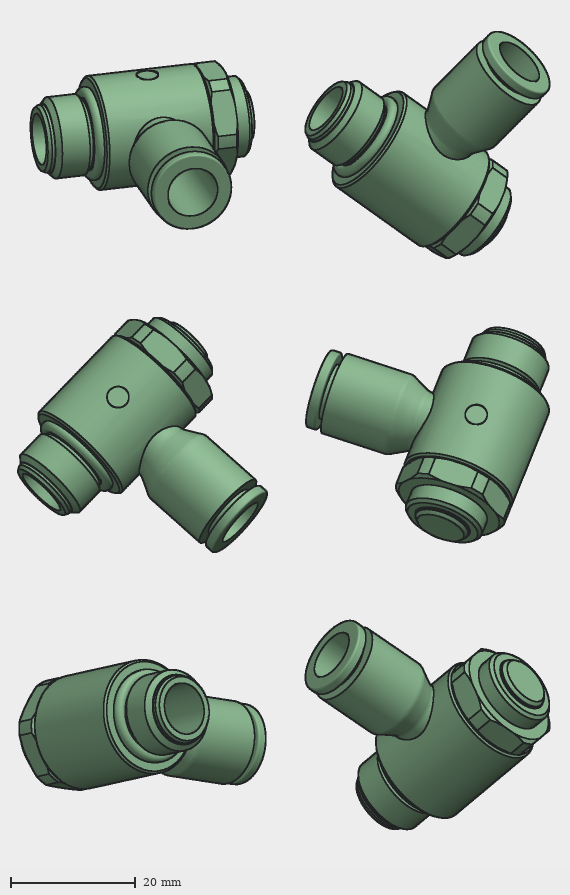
import cadquery as cq
import math

body_radius = 9.247
body_front = -9.23
body_back = 8.75
body_chamfer = 0.35

hex_back = 12.73
hex_across_flats = 17.0
hex_corner_radius = body_radius
hex_chamfer_length = 0.45
hex_end_radius = 8.58

collar_radius = 6.53
collar_back = 15.8
collar_chamfer = 0.55
cap_back = 16.75
cap_foot_radius = 4.7
cap_side_radius = 4.55
cap_foot_height = 0.15
cap_shoulder_height = 0.35
cap_tip_radius = 4.0
cap_tip_chamfer = 0.25

seal_cord_radius = 0.95
seal_outer_radius = 7.57
seal_front = -10.65
thread_radius = 6.6
thread_root_radius = 5.85
thread_front = -16.9
thread_chamfer = 0.9
nose_radius = 5.5
nose_front = -18.02
nose_tip_radius = 5.2
nose_chamfer_length = 0.6

branch_neck_radius = 4.97
branch_radius = 6.75
cone_start = 9.6
cone_end = 13.0
cone_blend_radius = 1.0
branch_end = 24.08
collet_neck_radius = 4.6
flange_start = 25.13
flange_radius = 6.53
flange_fillet = 0.32
overall_length = 36.05
flange_end = overall_length - body_radius

bore_radius = 4.15

recess_radius = 1.75
recess_depth = 0.2


def cylinder_y(radius, start, end):
    """Cylinder on the Y axis from start up to end."""
    return cq.Workplane("XZ", origin=(0, end, 0)).circle(radius).extrude(end - start)


def cylinder_x(radius, start, end):
    """Cylinder on the X axis from start up to end."""
    return cq.Workplane("YZ", origin=(start, 0, 0)).circle(radius).extrude(end - start)


def revolve_y(profile):
    """Turn a closed profile drawn in XY about the Y axis."""
    return profile.close().revolve(360, (0, 0, 0), (0, 1, 0))


def make_body():
    return cylinder_y(body_radius, body_front, body_back).edges().chamfer(body_chamfer)


def make_hex_head():
    across_corners = hex_across_flats / math.cos(math.pi / 6)
    prism = (
        cq.Workplane("XZ", origin=(0, hex_back, 0))
        .polygon(6, across_corners)
        .extrude(hex_back - body_back)
    )
    envelope = revolve_y(
        cq.Workplane("XY")
        .moveTo(0, body_back)
        .lineTo(hex_end_radius, body_back)
        .lineTo(hex_corner_radius, body_back + hex_chamfer_length)
        .lineTo(hex_corner_radius, hex_back - hex_chamfer_length)
        .lineTo(hex_end_radius, hex_back)
        .lineTo(0, hex_back)
    )
    return prism.intersect(envelope)


def make_collar():
    return cylinder_y(collar_radius, hex_back, collar_back).faces(">Y").chamfer(collar_chamfer)


def make_cap():
    shoulder_y = collar_back + cap_shoulder_height
    chamfer_radius = cap_tip_radius + cap_tip_chamfer
    chamfer_y = cap_back - cap_tip_chamfer
    return revolve_y(
        cq.Workplane("XY")
        .moveTo(0, collar_back)
        .lineTo(cap_foot_radius, collar_back)
        .lineTo(cap_side_radius, collar_back + cap_foot_height)
        .lineTo(cap_side_radius, shoulder_y)
        .lineTo(chamfer_radius, chamfer_y)
        .lineTo(cap_tip_radius, cap_back)
        .lineTo(0, cap_back)
    )


def make_seal():
    ring_radius = seal_outer_radius - seal_cord_radius
    ring_y = seal_front + seal_cord_radius
    return (
        cq.Workplane("XY")
        .center(ring_radius, ring_y)
        .circle(seal_cord_radius)
        .revolve(360, (-ring_radius, 0, 0), (-ring_radius, 1, 0))
    )


def make_spigot():
    thread_back_chamfer = thread_radius - thread_root_radius
    return revolve_y(
        cq.Workplane("XY")
        .moveTo(0, body_front)
        .lineTo(thread_root_radius, body_front)
        .lineTo(thread_root_radius, seal_front)
        .lineTo(thread_radius, seal_front - thread_back_chamfer)
        .lineTo(thread_radius, thread_front + thread_chamfer)
        .lineTo(thread_radius - thread_chamfer, thread_front)
        .lineTo(nose_radius, thread_front)
        .lineTo(nose_radius, nose_front + nose_chamfer_length)
        .lineTo(nose_tip_radius, nose_front)
        .lineTo(0, nose_front)
    )


def make_branch():
    shell = (
        cq.Workplane("XY")
        .moveTo(0, 0)
        .lineTo(0, branch_neck_radius)
        .lineTo(cone_start, branch_neck_radius)
        .lineTo(cone_end, branch_radius)
        .lineTo(branch_end, branch_radius)
        .lineTo(branch_end, 0)
        .close()
        .revolve(360, (0, 0, 0), (1, 0, 0))
    )
    search_margin = 0.18
    for cone_edge_x in (cone_start, cone_end):
        near_edge = cq.selectors.BoxSelector(
            (cone_edge_x - search_margin, -branch_radius, -branch_radius),
            (cone_edge_x + search_margin, branch_radius, branch_radius),
        )
        shell = shell.edges("%CIRCLE").edges(near_edge).fillet(cone_blend_radius)
    collet_neck = cylinder_x(collet_neck_radius, branch_end, flange_start)
    flange = cylinder_x(flange_radius, flange_start, flange_end).edges().fillet(flange_fillet)
    return shell.union(collet_neck).union(flange)


def make_bore():
    inlet = cylinder_y(bore_radius, nose_front, 0)
    outlet = cylinder_x(bore_radius, 0, flange_end)
    corner = cq.Workplane("XY").sphere(bore_radius)
    return inlet.union(outlet).union(corner)


def make_recess():
    floor_z = body_radius - recess_depth
    return cq.Workplane("XY", origin=(0, 0, floor_z)).circle(recess_radius).extrude(recess_depth)


result = make_body()
for part in (make_hex_head(), make_collar(), make_cap(), make_seal(), make_spigot(), make_branch()):
    result = result.union(part)
result = result.cut(make_bore()).cut(make_recess())